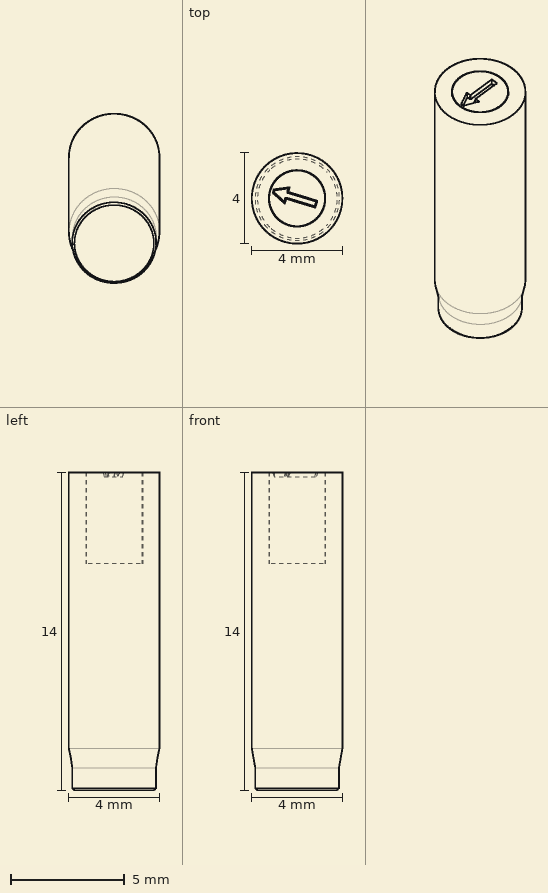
import cadquery as cq

SLEEVE_RADIUS = 2.0
SLEEVE_LENGTH = 14.0
SPIGOT_RADIUS = 1.85
SPIGOT_LENGTH = 1.0
TAPER_LENGTH = 0.85
END_CHAMFER = 0.1

SEAT_RADIUS = 1.25
SEAT_CLEARANCE = 0.025
CORE_RADIUS = SEAT_RADIUS - SEAT_CLEARANCE
CORE_LENGTH = 4.0
SEAT_FLOOR = SLEEVE_LENGTH - CORE_LENGTH

ARROW_TIP = 1.1
ARROW_TAIL = -0.89
ARROW_HEAD_LENGTH = 0.65
ARROW_HEAD_HALF_WIDTH = 0.38
ARROW_SHAFT_HALF_WIDTH = 0.16
ARROW_TIP_HALF_WIDTH = 0.08
ARROW_DEPTH = 0.2
ARROW_WALL_DRAFT = 15.0
ARROW_DIRECTION = 163.0


def make_sleeve():
    """Revolved sleeve with a tapered lower spigot and a blind seat for the core."""
    taper_top = SPIGOT_LENGTH + TAPER_LENGTH
    profile = [
        (0, 0),
        (SPIGOT_RADIUS - END_CHAMFER, 0),
        (SPIGOT_RADIUS, END_CHAMFER),
        (SPIGOT_RADIUS, SPIGOT_LENGTH),
        (SLEEVE_RADIUS, taper_top),
        (SLEEVE_RADIUS, SLEEVE_LENGTH),
        (SEAT_RADIUS, SLEEVE_LENGTH),
        (SEAT_RADIUS, SEAT_FLOOR),
        (0, SEAT_FLOOR),
    ]
    return cq.Workplane("XZ").polyline(profile).close().revolve(360, (0, 0), (0, 1))


def make_arrow_cutter():
    """Blunt-tipped arrow with drafted walls, sunk from the top face and turned to its direction."""
    head_base = ARROW_TIP - ARROW_HEAD_LENGTH
    outline = [
        (ARROW_TIP, -ARROW_TIP_HALF_WIDTH),
        (ARROW_TIP, ARROW_TIP_HALF_WIDTH),
        (head_base, ARROW_HEAD_HALF_WIDTH),
        (head_base, ARROW_SHAFT_HALF_WIDTH),
        (ARROW_TAIL, ARROW_SHAFT_HALF_WIDTH),
        (ARROW_TAIL, -ARROW_SHAFT_HALF_WIDTH),
        (head_base, -ARROW_SHAFT_HALF_WIDTH),
        (head_base, -ARROW_HEAD_HALF_WIDTH),
    ]
    top_face = cq.Workplane("XY").workplane(offset=SLEEVE_LENGTH)
    arrow = top_face.polyline(outline).close().extrude(-ARROW_DEPTH, taper=ARROW_WALL_DRAFT)
    return arrow.rotate((0, 0, 0), (0, 0, 1), ARROW_DIRECTION)


def make_core():
    """Round indicator core with the engraved arrow."""
    seat_floor_plane = cq.Workplane("XY").workplane(offset=SEAT_FLOOR)
    blank = seat_floor_plane.circle(CORE_RADIUS).extrude(CORE_LENGTH)
    return blank.cut(make_arrow_cutter())


sleeve = make_sleeve()
core = make_core()
result = cq.Compound.makeCompound([sleeve.val(), core.val()])